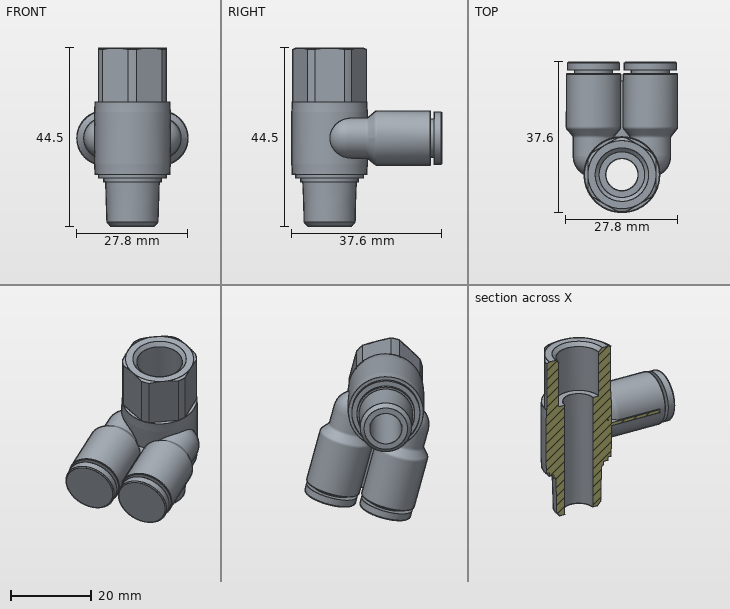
import cadquery as cq
import math

TOTAL_HEIGHT = 44.5
TOTAL_WIDTH = 27.8
TOTAL_LENGTH = 37.6

BODY_RADIUS = 9.5
BODY_END_RADIUS = 9.35
BODY_BOTTOM = 13.0
BODY_TOP = 31.1
BODY_TAPER_HEIGHT = 2.6

WIDE_STEP_RADIUS = 8.5
NARROW_STEP_RADIUS = 7.2
STEP_HEIGHT = 0.95
THREAD_TOP_RADIUS = 6.7
THREAD_END_RADIUS = 6.4
THREAD_CHAMFER_WIDTH = 1.0
THREAD_CHAMFER_HEIGHT = 1.05

HEX_ACROSS_FLATS = 17.0
HEX_CORNER_RADIUS = 9.25
HEX_CHAMFER_HEIGHT = 0.3

THROUGH_RADIUS = 4.0
SOCKET_RADIUS = 5.7
SOCKET_DEPTH = TOTAL_HEIGHT - BODY_TOP
SOCKET_CHAMFER = 1.0

SLEEVE_RADIUS = 6.8
PORT_OFFSET = TOTAL_WIDTH / 2 - SLEEVE_RADIUS
PORT_HEIGHT = (BODY_BOTTOM + BODY_TOP) / 2
PORT_END = TOTAL_LENGTH - BODY_RADIUS
STEM_RADIUS = 5.07
STEM_START = 4.55
CONE_START = 9.5
CONE_LENGTH = 2.1
CONE_FILLET = 1.0
SLEEVE_END = 25.25
SLEEVE_EDGE_CHAMFER = 0.2
NECK_RADIUS = 4.8
NECK_LENGTH = 0.9
RING_RADIUS = 6.55
RING_CHAMFER = 0.25

WEB_END = 23.45
WEB_THICKNESS = 1.0


def make_body():
    """Turned body, steps and male thread."""
    wide_step_bottom = BODY_BOTTOM - STEP_HEIGHT
    thread_top = wide_step_bottom - STEP_HEIGHT
    return (
        cq.Workplane("XZ")
        .moveTo(0, 0)
        .lineTo(THREAD_END_RADIUS - THREAD_CHAMFER_WIDTH, 0)
        .lineTo(THREAD_END_RADIUS, THREAD_CHAMFER_HEIGHT)
        .lineTo(THREAD_TOP_RADIUS, thread_top)
        .lineTo(NARROW_STEP_RADIUS, thread_top)
        .lineTo(NARROW_STEP_RADIUS, wide_step_bottom)
        .lineTo(WIDE_STEP_RADIUS, wide_step_bottom)
        .lineTo(WIDE_STEP_RADIUS, BODY_BOTTOM)
        .lineTo(BODY_END_RADIUS, BODY_BOTTOM)
        .lineTo(BODY_RADIUS, BODY_BOTTOM + BODY_TAPER_HEIGHT)
        .lineTo(BODY_RADIUS, BODY_TOP - BODY_TAPER_HEIGHT)
        .lineTo(BODY_END_RADIUS, BODY_TOP)
        .lineTo(0, BODY_TOP)
        .close()
        .revolve(360, (0, 0, 0), (0, 1, 0))
    )


def make_hex_head():
    """Hexagon with flats facing +X and -X, trimmed by a round blank with a shallow top chamfer."""
    across_corners = HEX_ACROSS_FLATS / math.cos(math.pi / 6)
    prism = (
        cq.Workplane("XY")
        .workplane(offset=BODY_TOP)
        .transformed(rotate=(0, 0, 90))
        .polygon(6, across_corners)
        .extrude(TOTAL_HEIGHT - BODY_TOP)
    )
    blank = (
        cq.Workplane("XZ")
        .moveTo(0, BODY_TOP)
        .lineTo(HEX_CORNER_RADIUS, BODY_TOP)
        .lineTo(HEX_CORNER_RADIUS, TOTAL_HEIGHT - HEX_CHAMFER_HEIGHT)
        .lineTo(HEX_ACROSS_FLATS / 2, TOTAL_HEIGHT)
        .lineTo(0, TOTAL_HEIGHT)
        .close()
        .revolve(360, (0, 0, 0), (0, 1, 0))
    )
    return prism.intersect(blank)


def make_port(x):
    """Round-ended stem, cone, sleeve and release ring of one tube port."""
    cone_end = CONE_START + CONE_LENGTH
    ring_start = SLEEVE_END + NECK_LENGTH
    diagonal = STEM_RADIUS * math.sqrt(0.5)

    cone_rise = SLEEVE_RADIUS - STEM_RADIUS
    cone_angle = math.atan2(cone_rise, CONE_LENGTH)
    tangent_length = CONE_FILLET * math.tan(cone_angle / 2)
    tangent_rise = tangent_length * math.sin(cone_angle)
    tangent_run = tangent_length * math.cos(cone_angle)

    port = (
        cq.Workplane("XY")
        .moveTo(0, STEM_START - STEM_RADIUS)
        .threePointArc((diagonal, STEM_START - diagonal), (STEM_RADIUS, STEM_START))
        .lineTo(STEM_RADIUS, CONE_START - tangent_length)
        .tangentArcPoint((STEM_RADIUS + tangent_rise, CONE_START + tangent_run), relative=False)
        .lineTo(SLEEVE_RADIUS - tangent_rise, cone_end - tangent_run)
        .tangentArcPoint((SLEEVE_RADIUS, cone_end + tangent_length), relative=False)
        .lineTo(SLEEVE_RADIUS, SLEEVE_END - SLEEVE_EDGE_CHAMFER)
        .lineTo(SLEEVE_RADIUS - SLEEVE_EDGE_CHAMFER, SLEEVE_END)
        .lineTo(NECK_RADIUS, SLEEVE_END)
        .lineTo(NECK_RADIUS, ring_start)
        .lineTo(RING_RADIUS, ring_start)
        .lineTo(RING_RADIUS, PORT_END - RING_CHAMFER)
        .lineTo(RING_RADIUS - RING_CHAMFER, PORT_END)
        .lineTo(0, PORT_END)
        .close()
        .revolve(360, (0, 0, 0), (0, 1, 0))
    )
    return port.translate((x, 0, PORT_HEIGHT))


def make_web():
    """Flat plate in the plane of the port axes, filling the gap between the ports."""
    return (
        cq.Workplane("XY")
        .box(2 * PORT_OFFSET, WEB_END, WEB_THICKNESS, centered=(True, False, True))
        .translate((0, 0, PORT_HEIGHT))
    )


def make_bore():
    """Through hole with a chamfered socket in the hexagon head."""
    socket_floor = TOTAL_HEIGHT - SOCKET_DEPTH
    return (
        cq.Workplane("XZ")
        .moveTo(0, 0)
        .lineTo(THROUGH_RADIUS, 0)
        .lineTo(THROUGH_RADIUS, socket_floor)
        .lineTo(SOCKET_RADIUS, socket_floor)
        .lineTo(SOCKET_RADIUS, TOTAL_HEIGHT - SOCKET_CHAMFER)
        .lineTo(SOCKET_RADIUS + SOCKET_CHAMFER, TOTAL_HEIGHT)
        .lineTo(0, TOTAL_HEIGHT)
        .close()
        .revolve(360, (0, 0, 0), (0, 1, 0))
    )


result = make_body().union(make_hex_head()).union(make_web())
for port_x in (-PORT_OFFSET, PORT_OFFSET):
    result = result.union(make_port(port_x))
result = result.cut(make_bore())